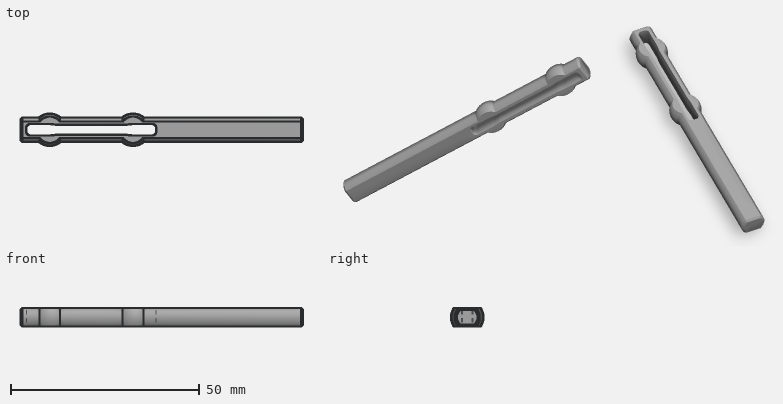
import cadquery as cq

length = 75.0
shaft_diameter = 6.6
thickness = 5.0
end_chamfer = 0.5

bulge_diameter = 8.6
first_bulge_x = 7.7
bulge_spacing = 22.1
bulge_positions = (first_bulge_x, first_bulge_x + bulge_spacing)

slot_length = 34.5
slot_end_width = 3.0
slot_waist_width = 2.6
slot_corner_radius = 1.05
slot_waist_length = 18.45
slot_taper_length = 1.8
slot_center_x = 18.75


def flat_slab(diameter):
    """Slab of the part's thickness, long and wide enough to hold the whole bar."""
    return cq.Workplane("XY").box(length, diameter, thickness).translate((length / 2, 0, 0))


def make_shaft():
    """Round bar cut to the flats, with both end outlines chamfered."""
    bar = cq.Workplane("YZ").circle(shaft_diameter / 2).extrude(length)
    flattened = bar.intersect(flat_slab(shaft_diameter))
    return flattened.faces("<X or >X").chamfer(end_chamfer)


def make_bulge(x):
    """Ball centred on the shaft axis, trimmed to the same flats."""
    ball = cq.Workplane("XY").sphere(bulge_diameter / 2).translate((x, 0, 0))
    return ball.intersect(flat_slab(bulge_diameter))


def make_slot_cutter():
    """Rounded slot whose side walls taper in to a narrow waist."""
    half_length = slot_length / 2
    half_end = slot_end_width / 2
    half_waist = slot_waist_width / 2
    waist_x = slot_waist_length / 2
    taper_x = waist_x + slot_taper_length
    upper_side = [
        (-half_length, half_end),
        (-taper_x, half_end),
        (-waist_x, half_waist),
        (waist_x, half_waist),
        (taper_x, half_end),
        (half_length, half_end),
    ]
    lower_side = [(x, -y) for x, y in reversed(upper_side)]
    outline = cq.Workplane("XY").polyline(upper_side + lower_side).close()
    cutter = outline.extrude(thickness / 2, both=True)
    end_corners = cutter.faces("<X or >X").edges("|Z")
    return end_corners.fillet(slot_corner_radius).translate((slot_center_x, 0, 0))


result = make_shaft()
for bulge_x in bulge_positions:
    result = result.union(make_bulge(bulge_x))
result = result.cut(make_slot_cutter())